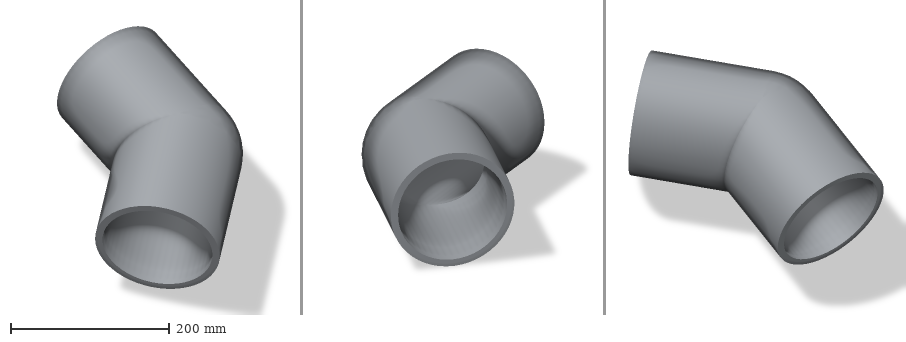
import cadquery as cq
import math

overall_length = 323.7
outer_diameter = 160.0
wall_thickness = 9.5
bend_angle = 45.0

outer_radius = outer_diameter / 2
inner_radius = outer_radius - wall_thickness
bend = math.radians(bend_angle)

leg_length = (overall_length - outer_radius * math.sin(bend)) / (1 + math.cos(bend))


def leg(radius):
    """Solid cylinder running from the bend centre along -X."""
    return cq.Workplane("YZ").circle(radius).extrude(-leg_length)


def corner(radius):
    """Spherical wedge filling the outside of the bend, centred on the origin."""
    return (
        cq.Workplane("XZ")
        .moveTo(0, -radius)
        .threePointArc((radius, 0), (0, radius))
        .close()
        .revolve(bend_angle, (0, 0), (0, 1))
        .rotate((0, 0, 0), (0, 0, 1), 90 - bend_angle)
    )


def elbow(radius):
    """Solid elbow: one leg along -X, the other turned towards +X and -Y."""
    turned_leg = leg(radius).rotate((0, 0, 0), (0, 0, 1), 180 - bend_angle)
    return leg(radius).union(turned_leg).union(corner(radius))


result = elbow(outer_radius).cut(elbow(inner_radius))